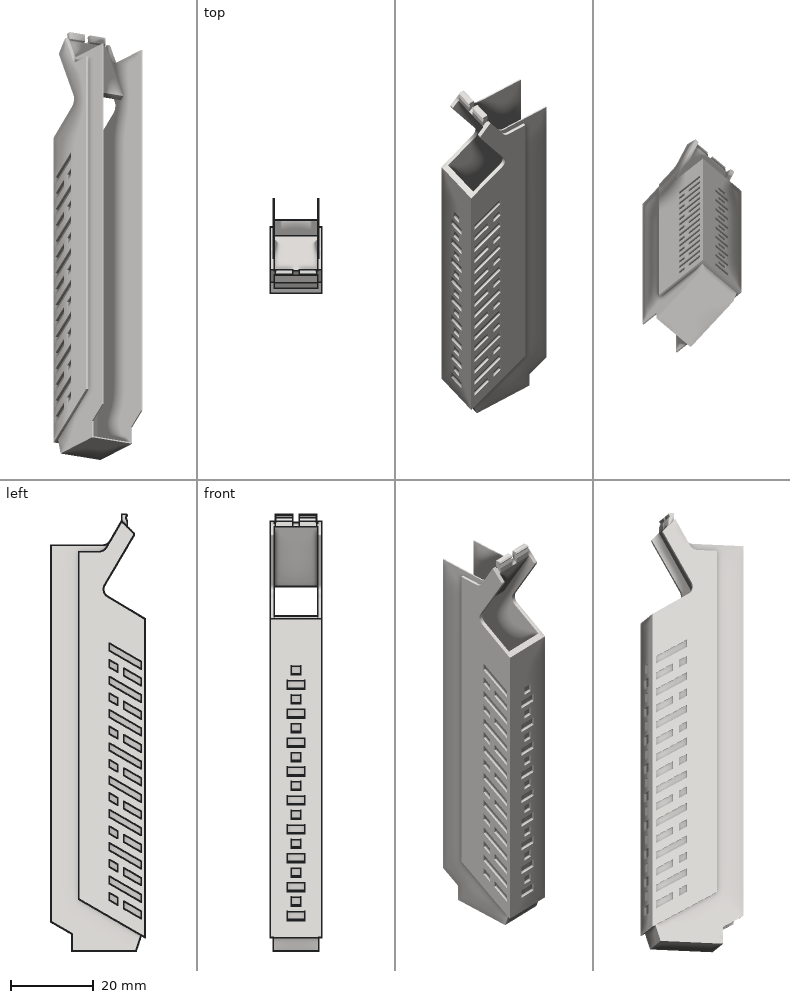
import cadquery as cq
import math

slope_angle = math.radians(30)
tip_angle = math.radians(45)
slope = math.tan(slope_angle)

cover_width = 12.5
cover_depth = 16.0
cover_top = 96.4
front_bottom = 3.3
front_top = 80.2
front_skin = 1.0

notch_depth = 10.8
notch_angle = math.radians(31)
notch_radius = 2.0
back_corner_radius = 2.0
tip_radius = 0.5
tip_front_y = 2.5
tip_front_z = 100.6
tip_back_y = 5.7

liner_width = 11.1
liner_depth = 22.8
liner_top = 98.0
sheet = 0.3
liner_back_bottom = 7.1
floor_back_y = 17.7
floor_front_y = 2.2
cavity_width = liner_width - 2 * sheet

plate_back_setback = 0.3
plate_front_setback = 1.4
plate_end_z = 88.0

total_height = 105.5
clip_inner_x = 0.7
clip_width = 4.2
groove_depth = 0.3
groove_bottom_z = 103.8
groove_middle_z = 104.6
groove_top_z = 105.2

side_slot_count = 16
side_slot_height = 1.8
side_slot_highest = 69.3
side_slot_lowest = 9.1
side_slot_front_y = front_skin
side_slot_back_y = 8.7
short_slot_back_y = 5.2
small_slot_front_y = 6.6
front_slot_count = 18
front_slot_depth = 0.5
front_slot_height = 2.1
front_slot_highest = 68.8
front_slot_lowest = 9.5
narrow_slot_width = 2.2
wide_slot_width = 4.2

tip_slope = math.tan(tip_angle)
tip_back_z = tip_front_z + (tip_back_y - tip_front_y) * tip_slope
front_wall = front_skin + sheet
side_slot_depth = (cover_width - liner_width) / 2
notch_z = front_top + notch_depth * math.tan(notch_angle)
plate_back_y = tip_back_y - plate_back_setback
plate_back_z = tip_back_z - plate_back_setback * tip_slope
plate_front_y = tip_back_y - plate_front_setback
plate_front_z = tip_back_z - plate_front_setback * tip_slope


def arm_back_y(z):
    """Depth of the arm's sloping back edge at height z."""
    return tip_back_y + (tip_back_z - z) * slope


def extrude_across(points, width, center_x=0.0):
    """Extrude a (Y, Z) outline along X, centered on center_x."""
    outline = cq.Workplane("YZ", origin=(center_x, 0, 0)).polyline(points).close()
    return outline.extrude(width / 2, both=True)


def round_corner(body, y, z, radius):
    """Fillet the edge along X that passes through (y, z)."""
    edge = body.edges("|X").edges(cq.selectors.NearestToPointSelector((0, y, z)))
    return edge.fillet(radius)


def make_cover():
    cover = extrude_across(
        [
            (0, front_bottom),
            (0, front_top),
            (notch_depth, notch_z),
            (tip_front_y, tip_front_z),
            (tip_back_y, tip_back_z),
            (arm_back_y(cover_top), cover_top),
            (cover_depth, cover_top),
            (cover_depth, front_bottom + cover_depth * slope),
        ],
        cover_width,
    )
    cover = round_corner(cover, notch_depth, notch_z, notch_radius)
    cover = round_corner(cover, arm_back_y(cover_top), cover_top, back_corner_radius)
    return round_corner(cover, tip_front_y, tip_front_z, tip_radius)


def make_liner():
    liner = extrude_across(
        [
            (floor_front_y, 0),
            (front_skin, front_bottom + front_skin * slope),
            (front_skin, front_top),
            (notch_depth, front_top),
            (notch_depth, notch_z),
            (tip_back_y, tip_back_z),
            (arm_back_y(liner_top), liner_top),
            (liner_depth, liner_top),
            (liner_depth, liner_back_bottom),
            (floor_back_y, liner_back_bottom - (liner_depth - floor_back_y) * slope),
            (floor_back_y, 0),
        ],
        liner_width,
    )
    return round_corner(liner, arm_back_y(liner_top), liner_top, back_corner_radius)


def make_cavity():
    """Inside of the liner, running out through the back and the top."""
    return extrude_across(
        [
            (floor_front_y + sheet, sheet),
            (front_wall, front_bottom + front_wall * slope),
            (front_wall, total_height),
            (liner_depth, total_height),
            (liner_depth, sheet),
        ],
        cavity_width,
    )


def make_arm_plate():
    end_front_y = plate_front_y + (plate_front_z - plate_end_z) * slope
    tip_length = math.hypot(plate_back_y - plate_front_y, plate_back_z - plate_front_z)
    thickness = tip_length * math.cos(tip_angle - slope_angle)
    end_back_y = end_front_y + thickness * math.cos(slope_angle)
    end_back_z = plate_end_z + thickness * math.sin(slope_angle)
    return extrude_across(
        [
            (plate_front_y, plate_front_z),
            (plate_back_y, plate_back_z),
            (end_back_y, end_back_z),
            (end_front_y, plate_end_z),
        ],
        cavity_width,
    )


def make_clip(side):
    return extrude_across(
        [
            (plate_front_y, plate_front_z),
            (plate_front_y, groove_bottom_z),
            (plate_front_y + groove_depth, groove_middle_z),
            (plate_front_y, groove_top_z),
            (plate_front_y + groove_depth, total_height),
            (tip_back_y, total_height),
            (tip_back_y, tip_back_z),
        ],
        clip_width,
        side * (clip_inner_x + clip_width / 2),
    )


def sloping_slot(front_y, back_y, top_z, height, width, center_x):
    """Slot cutter rising toward the back; top_z is where its top would meet the front face."""
    return extrude_across(
        [
            (front_y, top_z + front_y * slope),
            (back_y, top_z + back_y * slope),
            (back_y, top_z + back_y * slope - height),
            (front_y, top_z + front_y * slope - height),
        ],
        width,
        center_x,
    )


def cut_side_slots(body):
    """Rows on both sides: one long slot, alternating with a small and a short one."""
    pitch = (side_slot_highest - side_slot_lowest) / (side_slot_count - 1)
    long_row = [(side_slot_front_y, side_slot_back_y)]
    split_row = [(side_slot_front_y, short_slot_back_y), (small_slot_front_y, side_slot_back_y)]
    for index in range(side_slot_count):
        top_z = side_slot_highest - index * pitch
        for front_y, back_y in split_row if index % 2 else long_row:
            for side in (-1, 1):
                body = body.cut(
                    sloping_slot(front_y, back_y, top_z, side_slot_height,
                                 2 * side_slot_depth, side * cover_width / 2)
                )
    return body


def cut_front_slots(body):
    """One column on the front face, alternating narrow and wide."""
    pitch = (front_slot_highest - front_slot_lowest) / (front_slot_count - 1)
    for index in range(front_slot_count):
        width = wide_slot_width if index % 2 else narrow_slot_width
        top_z = front_slot_highest - index * pitch
        body = body.cut(sloping_slot(0, front_slot_depth, top_z, front_slot_height, width, 0))
    return body


body = make_cover().union(make_liner()).cut(make_cavity()).union(make_arm_plate())
for clip_side in (-1, 1):
    body = body.union(make_clip(clip_side))
body = cut_side_slots(body)
result = cut_front_slots(body)